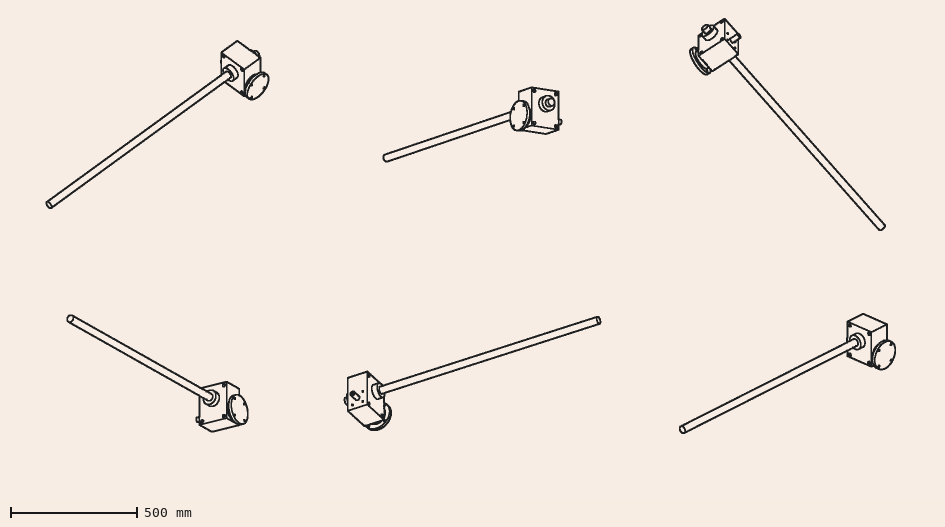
import cadquery as cq

housing_length = 130.0
housing_width = 90.0
housing_height = 155.0
worm_axis_height = 45.0
axis_distance = 50.0
housing_base = -worm_axis_height
housing_top = housing_base + housing_height

collar_diameter = 60.0
collar_length = 24.0

mount_hole_diameter = 11.0
mount_hole_spacing_x = 103.0
mount_hole_spacing_z = 131.0

face_hole_diameter = 4.9
face_hole_spacing = 48.0
face_hole_depth = 12.0

screw_diameter = 30.0
screw_length = 1160
screw_back_overhang = 20.0

shaft_diameter = 20.0
shaft_overhang = 38.0
shaft_socket_depth = 23.0
center_hole_diameter = 4.9
center_hole_depth = 12.0

hub_diameter = 80.0
hub_length = 19.0
flange_diameter = 120.0
flange_thickness = 13.0
bolt_hole_diameter = 7.0
bolt_circle_diameter = 100.0
bolt_hole_count = 4
first_bolt_angle = 45

housing_left = -housing_length / 2
housing_right = housing_length / 2
collar_span = housing_width + 2 * collar_length
screw_back = collar_span / 2 + screw_back_overhang
screw_front = screw_back - screw_length
shaft_tip = housing_left - shaft_overhang


def rod_x(diameter, start, length):
    """Round bar on the worm axis, from X = start toward +X."""
    return cq.Workplane("YZ", origin=(start, 0, 0)).circle(diameter / 2).extrude(length)


def rod_y(diameter, start, length, x=0, z=axis_distance):
    """Round bar along Y, from Y = start toward +Y, on the screw axis by default."""
    return cq.Workplane("XZ", origin=(x, start, z)).circle(diameter / 2).extrude(-length)


def make_lifting_screw():
    return rod_y(screw_diameter, screw_front, screw_length)


def make_input_shaft():
    shaft = rod_x(shaft_diameter, shaft_tip, shaft_overhang + shaft_socket_depth)
    return shaft.cut(rod_x(center_hole_diameter, shaft_tip, center_hole_depth))


def make_motor_flange():
    flange_start = housing_right + hub_length
    hub = rod_x(hub_diameter, housing_right, hub_length)
    flange = rod_x(flange_diameter, flange_start, flange_thickness)
    bolt_holes = (
        cq.Workplane("YZ", origin=(flange_start, 0, 0))
        .polarArray(bolt_circle_diameter / 2, first_bolt_angle, 360, bolt_hole_count)
        .circle(bolt_hole_diameter / 2)
        .extrude(flange_thickness)
    )
    return hub.union(flange.cut(bolt_holes))


def make_housing():
    body = cq.Workplane("XY", origin=(0, 0, housing_base)).box(
        housing_length, housing_width, housing_height, centered=(True, True, False)
    )
    body = body.union(rod_y(collar_diameter, -collar_span / 2, collar_span))

    body = body.cut(rod_y(screw_diameter, -collar_span / 2, collar_span))
    body = body.cut(rod_x(shaft_diameter, housing_left, shaft_socket_depth))

    housing_middle = (housing_base + housing_top) / 2
    for x in (-mount_hole_spacing_x / 2, mount_hole_spacing_x / 2):
        for z in (housing_middle - mount_hole_spacing_z / 2, housing_middle + mount_hole_spacing_z / 2):
            body = body.cut(rod_y(mount_hole_diameter, -housing_width / 2, housing_width, x, z))

    face_holes = (
        cq.Workplane("YZ", origin=(housing_left, 0, 0))
        .rect(face_hole_spacing, face_hole_spacing, forConstruction=True)
        .vertices()
        .circle(face_hole_diameter / 2)
        .extrude(face_hole_depth)
    )
    return body.cut(face_holes)


housing = make_housing()
lifting_screw = make_lifting_screw()
input_shaft = make_input_shaft()
motor_flange = make_motor_flange()

result = cq.Compound.makeCompound(
    [housing.val(), lifting_screw.val(), input_shaft.val(), motor_flange.val()]
)